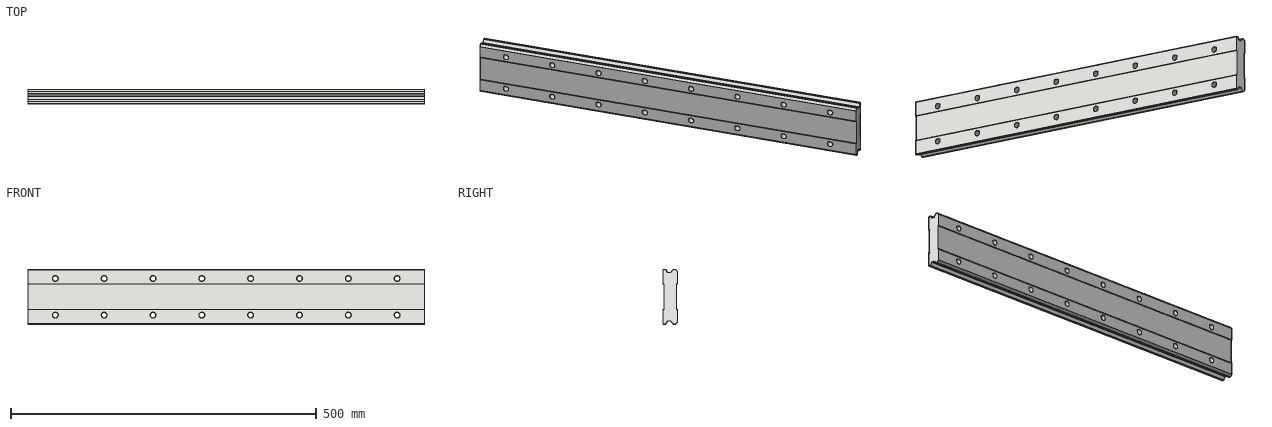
import math

import cadquery as cq

LENGTH = 650.0
THICKNESS = 24.0
HEIGHT = 90.0

RECESS_HEIGHT = 42.0
RECESS_DEPTH = 1.5

GROOVE_DEPTH = 5.0
GROOVE_FLOOR_BACK_Y = 0.5
GROOVE_FLOOR_FRONT_Y = -4.5
GROOVE_BACK_ANGLE = 45.0
GROOVE_FRONT_ANGLE = 60.0

BACK_BEVEL = 3.5
FRONT_BEVEL = 1.0

HOLE_DIAMETER = 9.0
HOLE_ROWS = 2
HOLE_COLUMNS = 8
HOLE_PITCH = 80.0
HOLE_ROW_SPACING = 60.0


def make_bar():
    """Extrude the full cross-section: recessed faces, bevelled corners and grooved edges."""
    half_y = THICKNESS / 2
    half_z = HEIGHT / 2
    recess_y = half_y - RECESS_DEPTH
    recess_z = RECESS_HEIGHT / 2
    floor_z = half_z - GROOVE_DEPTH
    groove_back_y = GROOVE_FLOOR_BACK_Y + GROOVE_DEPTH / math.tan(math.radians(GROOVE_BACK_ANGLE))
    groove_front_y = GROOVE_FLOOR_FRONT_Y - GROOVE_DEPTH / math.tan(math.radians(GROOVE_FRONT_ANGLE))
    upper = [
        (recess_y, recess_z),
        (half_y, recess_z),
        (half_y, half_z - BACK_BEVEL),
        (half_y - BACK_BEVEL, half_z),
        (groove_back_y, half_z),
        (GROOVE_FLOOR_BACK_Y, floor_z),
        (GROOVE_FLOOR_FRONT_Y, floor_z),
        (groove_front_y, half_z),
        (FRONT_BEVEL - half_y, half_z),
        (-half_y, half_z - FRONT_BEVEL),
        (-half_y, recess_z),
        (-recess_y, recess_z),
    ]
    lower = [(y, -z) for y, z in reversed(upper)]
    return cq.Workplane("YZ").polyline(upper + lower).close().extrude(LENGTH / 2, both=True)


def make_holes():
    """Cutter for all the holes, running through the thickness."""
    return (
        cq.Workplane("XZ")
        .rarray(HOLE_PITCH, HOLE_ROW_SPACING, HOLE_COLUMNS, HOLE_ROWS)
        .circle(HOLE_DIAMETER / 2)
        .extrude(THICKNESS / 2, both=True)
    )


result = make_bar().cut(make_holes())